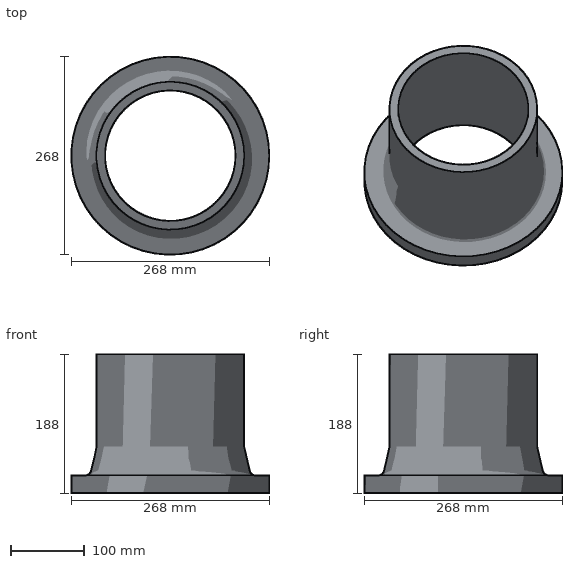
import cadquery as cq

flange_diameter = 268.0
flange_thickness = 24.0
total_height = 188.0
pipe_diameter = 200.0
bore_diameter = 176.0
neck_base_diameter = 218.0
neck_top_height = 63.2
neck_fillet = 8.0

flange = cq.Workplane("XY").circle(flange_diameter / 2).extrude(flange_thickness)

hub = (
    cq.Workplane("XZ")
    .moveTo(0, 0)
    .lineTo(neck_base_diameter / 2, 0)
    .lineTo(neck_base_diameter / 2, flange_thickness)
    .lineTo(pipe_diameter / 2, neck_top_height)
    .lineTo(pipe_diameter / 2, total_height)
    .lineTo(0, total_height)
    .close()
    .revolve(360, (0, 0, 0), (0, 1, 0))
)

body = flange.union(hub)

body = body.faces("+Z").faces("<Z").edges(cq.selectors.RadiusNthSelector(0)).fillet(neck_fillet)

bore = cq.Workplane("XY").circle(bore_diameter / 2).extrude(total_height)
result = body.cut(bore)